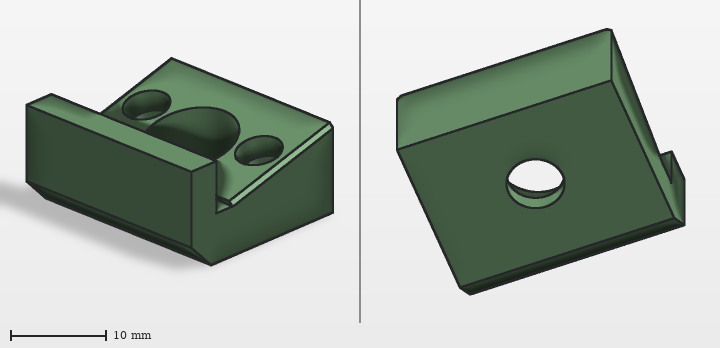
import cadquery as cq
import math

WIDTH = 24.15
LENGTH = 21.45
HEIGHT = 11.8

LIP_THICKNESS = 3.8
BOTTOM_CHAMFER = 3.0

CHANNEL_Z = 5.75
RAMP_START_Y = 6.25
RAMP_START_Z = 6.2
RAMP_ANGLE = 15.0
RAMP_EDGE_CHAMFER = 0.5

SCREW_Y = 12.25
SCREW_DIAMETER = 6.1
COUNTERBORE_DIAMETER = 10.4
COUNTERBORE_FLOOR_Z = 2.0

BLIND_DIAMETER = 5.1
BLIND_SPACING = 16.45
BLIND_Y = 14.2
BLIND_DEPTH = 2.6
DRILL_POINT_ANGLE = 118.0

RAMP_SLOPE = math.tan(math.radians(RAMP_ANGLE))


def ramp_z(y):
    """Height of the ramp surface at a given y."""
    return RAMP_START_Z + RAMP_SLOPE * (y - RAMP_START_Y)


def make_body():
    """Side profile extruded symmetrically across the width."""
    profile = [
        (BOTTOM_CHAMFER, 0),
        (LENGTH, 0),
        (LENGTH, ramp_z(LENGTH)),
        (RAMP_START_Y, RAMP_START_Z),
        (RAMP_START_Y, CHANNEL_Z),
        (LIP_THICKNESS, CHANNEL_Z),
        (LIP_THICKNESS, HEIGHT),
        (0, HEIGHT),
        (0, BOTTOM_CHAMFER),
    ]
    return cq.Workplane("YZ").polyline(profile).close().extrude(WIDTH / 2, both=True)


def make_edge_bevel(side):
    """Triangular bar that bevels one sloping edge of the ramp, stopping at the channel floor."""
    size = RAMP_EDGE_CHAMFER
    triangle = [(0, -size), (0, size), (-2 * size, size)]
    bar = cq.Workplane("XZ").polyline(triangle).close().extrude(LENGTH, both=True)
    if side < 0:
        bar = bar.mirror("YZ")
    bar = bar.rotate((0, 0, 0), (1, 0, 0), RAMP_ANGLE)
    bar = bar.translate((side * WIDTH / 2, RAMP_START_Y, RAMP_START_Z))
    ramp_region = (
        cq.Workplane("XY")
        .box(2 * WIDTH, LENGTH, HEIGHT, centered=(True, False, False))
        .translate((0, RAMP_START_Y, CHANNEL_Z))
    )
    return bar.intersect(ramp_region)


def make_screw_hole():
    """Through hole with a wide counterbore open to the ramp."""
    base = cq.Workplane("XY").center(0, SCREW_Y)
    through = base.circle(SCREW_DIAMETER / 2).extrude(HEIGHT)
    counterbore = (
        base.workplane(offset=COUNTERBORE_FLOOR_Z)
        .circle(COUNTERBORE_DIAMETER / 2)
        .extrude(HEIGHT - COUNTERBORE_FLOOR_Z)
    )
    return through.union(counterbore)


def make_blind_hole(x):
    """Drilled hole with a conical end, its axis normal to the ramp."""
    radius = BLIND_DIAMETER / 2
    point_height = radius / math.tan(math.radians(DRILL_POINT_ANGLE / 2))
    overshoot = radius
    half_section = [
        (0, overshoot),
        (radius, overshoot),
        (radius, -BLIND_DEPTH),
        (0, -BLIND_DEPTH - point_height),
    ]
    drill = cq.Workplane("XZ").polyline(half_section).close().revolve(360, (0, 0), (0, 1))
    tilted = drill.rotate((0, 0, 0), (1, 0, 0), RAMP_ANGLE)
    return tilted.translate((x, BLIND_Y, ramp_z(BLIND_Y)))


result = make_body().cut(make_screw_hole())
for side in (-1, 1):
    result = result.cut(make_edge_bevel(side))
    result = result.cut(make_blind_hole(side * BLIND_SPACING / 2))